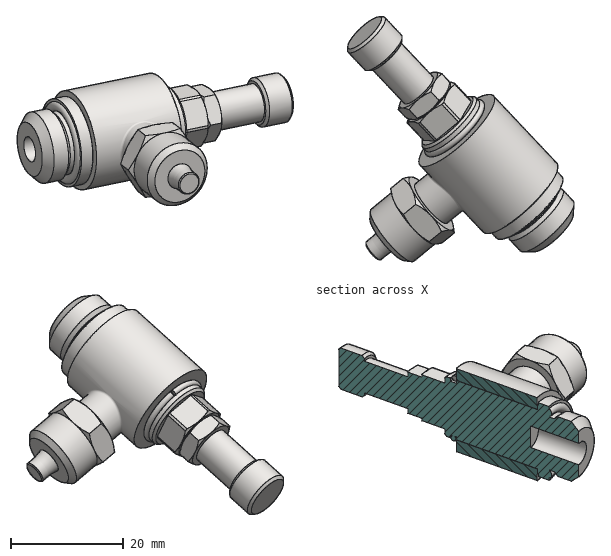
import cadquery as cq
import math


tip_y = -18.35
thread_chamfer = 1.55
thread_top_y = tip_y + 4.45
flange_bottom_y = tip_y + 6.3
flange_top_y = tip_y + 8.6
sleeve_bottom_y = tip_y + 8.8
sleeve_top_y = tip_y + 25.9
collar_bottom_y = sleeve_top_y + 1.15
collar_top_y = sleeve_top_y + 2.5
stem_hex_top_y = collar_top_y + 4.8
lock_nut_top_y = stem_hex_top_y + 3.0
knob_bottom_y = tip_y + 45.2
knob_top_y = tip_y + 50.75

thread_radius = 6.5
thread_relief = 0.7
neck_radius = thread_radius - thread_relief
flange_radius = 8.0
land_radius = 7.5
shank_radius = thread_radius
collar_chamfer = 0.45
rod_radius = 3.5
knob_radius = 4.5
knob_chamfer = 0.5
port_radius = 2.3
port_depth = 10.15

seal_wire_radius = 0.9
seal_radius = 6.65
seal_y = flange_bottom_y + 0.3
snap_wire_radius = (collar_bottom_y - sleeve_top_y) / 2
snap_outer_radius = 6.95
snap_groove_radius = 5.85
snap_gap = 0.45

stem_hex_flats = 10.0
stem_hex_corner_radius = 5.65
stem_hex_chamfer = 0.35
lock_nut_flats = 9.0
lock_nut_chamfer = 0.4
outlet_nut_flats = 12.05
outlet_nut_start_chamfer = 0.6
outlet_nut_end_chamfer = 0.5

overall_length_x = 35.5
sleeve_radius = 18.0 / 2
outlet_neck_radius = 4.5
outlet_root_fillet = 0.35
outlet_nut_start_x = 12.65
outlet_nut_end_x = 16.7
cap_radius = outlet_nut_flats / 2
cap_end_x = 22.85
cap_chamfer = 1.0
nozzle_root_radius = 2.4
nozzle_radius = 2.1
nozzle_taper_end_x = 24.9
nozzle_end_x = overall_length_x - sleeve_radius
nozzle_chamfer = 0.2


def corner_radius(flats):
    """Distance from the axis of a hexagon to its corners."""
    return flats / 2 / math.cos(math.pi / 6)


def hex_bar(flats, length, round_radius, bottom_chamfer, top_chamfer):
    """Hexagon along +Z with two corners on the X axis, turned to round_radius.

    A chamfer of the given length narrows an end to the circle inside the flats; zero leaves it square.
    """
    chamfer_depth = round_radius - flats / 2
    turned = cq.Workplane("XY").circle(round_radius).extrude(length)
    if bottom_chamfer > 0:
        turned = turned.faces("<Z").chamfer(bottom_chamfer, chamfer_depth)
    if top_chamfer > 0:
        turned = turned.faces(">Z").chamfer(top_chamfer, chamfer_depth)
    return cq.Workplane("XY").polygon(6, 2 * corner_radius(flats)).extrude(length).intersect(turned)


def along_stem(bar, start_y):
    """Turn a bar built along +Z so that it runs along +Y from start_y."""
    return bar.rotate((0, 0, 0), (1, 0, 0), -90).translate((0, start_y, 0))


def along_outlet(bar, start_x):
    """Turn a bar built along +Z so that it runs along +X from start_x, its X corners going to the Y axis."""
    return (
        bar.rotate((0, 0, 0), (0, 0, 1), 90)
        .rotate((0, 0, 0), (0, 1, 0), 90)
        .translate((start_x, 0, 0))
    )


def stem_ring(ring_radius, wire_radius, center_y):
    """Round-wire ring about the stem axis."""
    return cq.Workplane("XY").add(
        cq.Solid.makeTorus(ring_radius, wire_radius, cq.Vector(0, center_y, 0), cq.Vector(0, 1, 0))
    )


def make_turned_stem():
    """Round parts of the stem; the land above the flange carries the sleeve."""
    outline = [
        (0, tip_y),
        (thread_radius - thread_chamfer, tip_y),
        (thread_radius, tip_y + thread_chamfer),
        (thread_radius, thread_top_y),
        (neck_radius, thread_top_y + thread_relief),
        (neck_radius, flange_bottom_y),
        (flange_radius, flange_bottom_y),
        (flange_radius, flange_top_y),
        (land_radius, flange_top_y),
        (land_radius, sleeve_bottom_y),
        (shank_radius, sleeve_bottom_y),
        (shank_radius, sleeve_top_y),
        (snap_groove_radius, sleeve_top_y),
        (snap_groove_radius, collar_bottom_y),
        (shank_radius, collar_bottom_y),
        (shank_radius, collar_top_y - collar_chamfer),
        (shank_radius - collar_chamfer, collar_top_y),
        (rod_radius, collar_top_y),
        (rod_radius, knob_bottom_y),
        (knob_radius - knob_chamfer, knob_bottom_y),
        (knob_radius, knob_bottom_y + knob_chamfer),
        (knob_radius, knob_top_y - knob_chamfer),
        (knob_radius - knob_chamfer, knob_top_y),
        (0, knob_top_y),
    ]
    return cq.Workplane("XY").polyline(outline).close().revolve(360, (0, 0), (0, 1))


def make_snap_ring():
    """Split ring in the groove between sleeve and collar, its gap facing +Z."""
    ring = stem_ring(snap_outer_radius - snap_wire_radius, snap_wire_radius, sleeve_top_y + snap_wire_radius)
    gap = cq.Workplane("XY").box(
        snap_gap, 2 * snap_outer_radius, snap_outer_radius, centered=(True, True, False)
    )
    return ring.cut(gap.translate((0, sleeve_top_y, 0)))


def make_stem():
    """Threaded stem with its hexagons, rings and knob in one piece, swivelling in the sleeve."""
    stem_hex = hex_bar(
        stem_hex_flats,
        stem_hex_top_y - collar_top_y,
        stem_hex_corner_radius,
        0,
        stem_hex_chamfer,
    )
    lock_nut = hex_bar(
        lock_nut_flats,
        lock_nut_top_y - stem_hex_top_y,
        corner_radius(lock_nut_flats),
        lock_nut_chamfer,
        lock_nut_chamfer,
    )
    port = cq.Workplane("XZ", origin=(0, tip_y, 0)).circle(port_radius).extrude(-port_depth)
    return (
        make_turned_stem()
        .union(along_stem(stem_hex, collar_top_y))
        .union(along_stem(lock_nut, stem_hex_top_y))
        .union(stem_ring(seal_radius, seal_wire_radius, seal_y))
        .union(make_snap_ring())
        .cut(port)
    )


def make_sleeve():
    """Bored sleeve with the outlet neck standing on it, filleted where they meet."""
    sleeve_length = sleeve_top_y - sleeve_bottom_y
    sleeve_end = cq.Workplane("XZ", origin=(0, sleeve_bottom_y, 0))
    sleeve = sleeve_end.circle(sleeve_radius).extrude(-sleeve_length)
    bore = sleeve_end.circle(shank_radius).extrude(-sleeve_length)
    neck = cq.Workplane("YZ").circle(outlet_neck_radius).extrude(outlet_nut_start_x)
    root_reach = outlet_neck_radius + outlet_root_fillet
    root = cq.selectors.BoxSelector((0, -root_reach, -root_reach), (sleeve_radius, root_reach, root_reach))
    return sleeve.union(neck).edges(root).fillet(outlet_root_fillet).cut(bore)


def make_outlet_end():
    """Turned cap and hose nozzle beyond the outlet nut."""
    taper_mid_x = (cap_end_x + nozzle_taper_end_x) / 2
    taper_mid_radius = nozzle_radius + (nozzle_root_radius - nozzle_radius) / 4
    return (
        cq.Workplane("XY")
        .moveTo(outlet_nut_end_x, 0)
        .lineTo(outlet_nut_end_x, cap_radius)
        .lineTo(cap_end_x - cap_chamfer, cap_radius)
        .lineTo(cap_end_x, cap_radius - cap_chamfer)
        .lineTo(cap_end_x, nozzle_root_radius)
        .threePointArc((taper_mid_x, taper_mid_radius), (nozzle_taper_end_x, nozzle_radius))
        .lineTo(nozzle_end_x - nozzle_chamfer, nozzle_radius)
        .lineTo(nozzle_end_x, nozzle_radius - nozzle_chamfer)
        .lineTo(nozzle_end_x, 0)
        .close()
        .revolve(360, (0, 0), (1, 0))
    )


def make_elbow():
    """Sleeve, outlet neck, nut, cap and nozzle in one piece."""
    nut = hex_bar(
        outlet_nut_flats,
        outlet_nut_end_x - outlet_nut_start_x,
        corner_radius(outlet_nut_flats),
        outlet_nut_start_chamfer,
        outlet_nut_end_chamfer,
    )
    return make_sleeve().union(along_outlet(nut, outlet_nut_start_x)).union(make_outlet_end())


stem = make_stem()
elbow = make_elbow()
result = cq.Compound.makeCompound([*stem.solids().vals(), *elbow.solids().vals()])